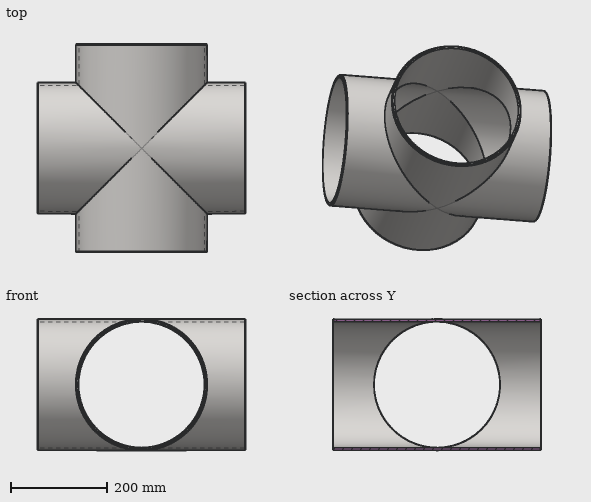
import cadquery as cq

length = 432.0
outer_diameter = 273.0
wall = 6.0
bevel = 2.0

outer_radius = outer_diameter / 2
inner_radius = outer_radius - wall
half_length = length / 2


def bevelled_run():
    """Solid cylinder along X with both outer end edges bevelled."""
    tip_radius = outer_radius - bevel
    shoulder = half_length - bevel
    profile = [
        (-half_length, 0),
        (-half_length, tip_radius),
        (-shoulder, outer_radius),
        (shoulder, outer_radius),
        (half_length, tip_radius),
        (half_length, 0),
    ]
    return cq.Workplane("XY").polyline(profile).close().revolve(360, (0, 0, 0), (1, 0, 0))


def bore():
    """Through bore along X."""
    return cq.Workplane("YZ").circle(inner_radius).extrude(half_length, both=True)


def turned_to_y(body):
    """Copy of an X-aligned body turned to lie along Y."""
    return body.rotate((0, 0, 0), (0, 0, 1), 90)


outside = bevelled_run().union(turned_to_y(bevelled_run()))
result = outside.cut(bore()).cut(turned_to_y(bore()))